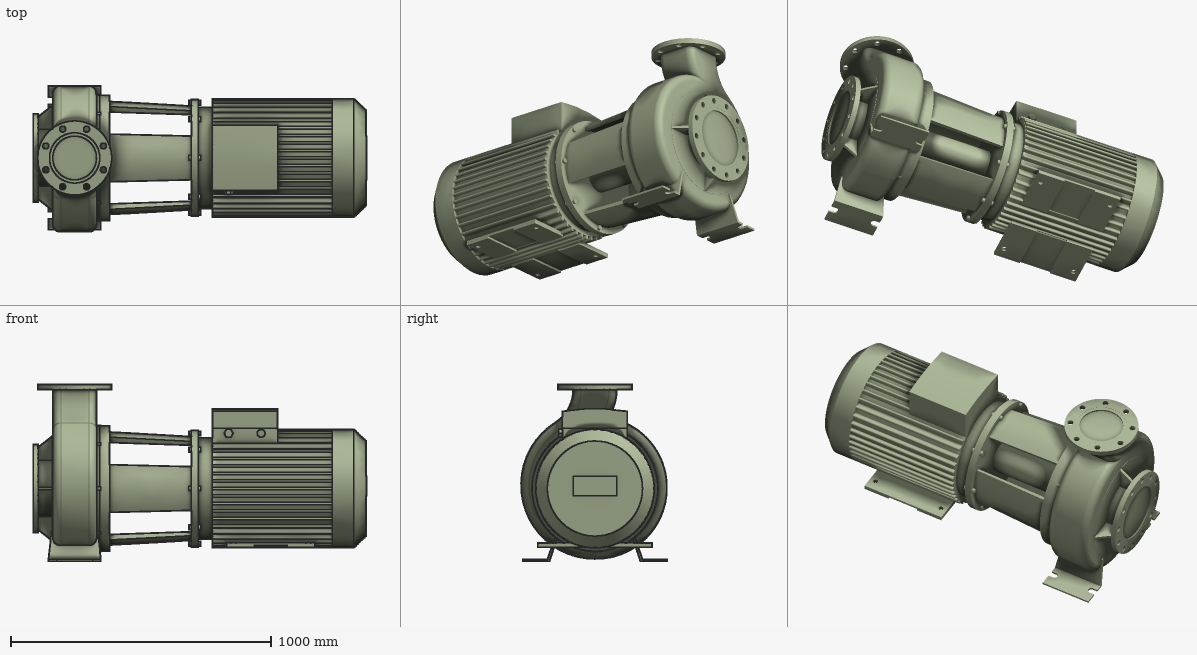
import cadquery as cq
import math


flange_thick = 20.0
volute_center_x = 160.0
volute_width = 168.3
volute_front_x = volute_center_x - volute_width / 2
volute_back_x = volute_center_x + volute_width / 2
cover_thick = 12.0
ring_x = volute_back_x + cover_thick
ring_thick = 38.0
arm_start_x = ring_x + ring_thick
motor_flange_x = 609.0
motor_flange_thick = 27.0
neck_x = motor_flange_x + motor_flange_thick
frame_x = 690.0
fan_cover_x = 1150.0
taper_x = 1234.0
nameplate_thick = 3.0
end_x = 1284.0 - nameplate_thick

suction_pipe_d = 219.1
suction_flange_d = 340.0
suction_circle_d = 295.0
suction_holes = 12
delivery_pipe_d = volute_width
delivery_flange_d = 285.0
delivery_circle_d = 240.0
delivery_holes = 8
delivery_face_z = 400.0
flange_hole_d = 23.0
seal_lip = 12.5
seal_lip_depth = 1.0
pipe_recess = 8.0
volute_fillet = 30.0
scroll_radius = 284.5
scroll_center_z = 13.5
scroll_inner_y = 277.0
tongue_y = 50.0
tongue_z = 273.0
neck_bend_y = 76.0
neck_bend_z = 326.0
rib_thick = 10.0
rib_root_d = 405.7
rib_flange_d = 318.0
hub_disc_thick = 1.0

foot_bottom_z = -280.0
foot_thick = 8.0
foot_outer_y = 277.0
foot_bend_y = 183.0
foot_length = 202.0
foot_top_y = 146.0
foot_top_z = -167.0
foot_taper = 12.0
foot_slot_width = 26.0
foot_slot_depth = 32.0
foot_slot_y = 220.0

ring_d = 484.0
stud_d = 26.0
stud_circle_d = 462.0
stud_recess = 5.0
stud_count = 8
arm_outer_d_pump = 436.0
arm_inner_d_pump = 389.0
arm_outer_d_motor = 400.0
arm_inner_d_motor = 366.0
arm_angle = 50.0
arm_count = 4
motor_flange_d = 450.0
bolt_d = 19.0
bolt_circle_d = 423.0
bolt_count = 8
bolt_head = 10.0
bolt_tail = 8.0
shaft_d = 120.0

neck_d = 391.0
core_d = 428.0
motor_d = 456.0
fin_pitch = 29.0
fin_thick = 10.0
fins_each_way = 5
fan_cover_end_d = 366.0
nameplate_width = 168.0
nameplate_bottom_z = -28.0
nameplate_top_z = 48.0

base_x = 744.0
base_length = 340.0
base_inner_y = 50.0
base_outer_y = 220.0
base_top_z = -209.0
base_thick = 17.0
base_relief_depth = 8.0
base_pad_length = 107.0
base_hole_d = 19.0
base_hole_inset_x = 25.0
base_hole_y = 179.0

box_size = 250.0
box_bottom_z = 172.0
lid_bottom_z = 231.0
lid_edge_z = 297.0
lid_crown_z = 307.0
gland_size = 30.0
gland_length = 15.0
gland_x = frame_x + 62.0
knockout_x = frame_x + 187.0
gland_z = 212.0
knockout_depth = 2.0


def rod(diameter, x_start, x_end):
    """Round bar along X, centred on the machine axis."""
    return cq.Workplane("YZ").workplane(offset=x_start).circle(diameter / 2).extrude(x_end - x_start)


def cone(d_start, d_end, x_start, x_end):
    """Truncated cone along X, centred on the machine axis."""
    profile = [(x_start, 0), (x_start, d_start / 2), (x_end, d_end / 2), (x_end, 0)]
    return cq.Workplane("XY").polyline(profile).close().revolve(360, (0, 0, 0), (1, 0, 0))


def ring_of_rods(diameter, circle_d, count, first_angle, x_start, x_end):
    """Round bars along X, evenly spaced on a circle about the machine axis."""
    return (
        cq.Workplane("YZ").workplane(offset=x_start)
        .polarArray(circle_d / 2, first_angle, 360, count)
        .circle(diameter / 2).extrude(x_end - x_start)
    )


def block(x_min, x_max, y_min, y_max, z_min, z_max):
    """Box given by its limits."""
    return cq.Workplane("XY").box(x_max - x_min, y_max - y_min, z_max - z_min, centered=False).translate(
        (x_min, y_min, z_min)
    )


def flange(diameter, pipe_d, circle_d, count):
    """Pipe flange along +X from its face at X = 0, with its closed pipe end set back behind a shallow seat."""
    half_step = 180.0 / count
    disc = rod(diameter, 0, flange_thick)
    holes = ring_of_rods(flange_hole_d, circle_d, count, half_step, 0, flange_thick)
    seat = rod(pipe_d + 2 * seal_lip, 0, seal_lip_depth).union(rod(pipe_d, 0, pipe_recess))
    return disc.cut(holes).cut(seat)


def volute():
    """Spiral housing with its swan-neck outlet, outlined in the YZ plane.

    The outer scroll arc and the outer neck arc touch where the line of their centres crosses them.
    """
    neck_half = delivery_pipe_d / 2
    neck_top = delivery_face_z - flange_thick
    rise = neck_top - scroll_center_z
    neck_radius = (neck_half**2 + rise**2 - scroll_radius**2) / (2 * (scroll_radius - neck_half))
    share = scroll_radius / (scroll_radius + neck_radius)
    join = (-(neck_half + neck_radius) * share, scroll_center_z + rise * share)
    return (
        cq.Workplane("YZ").workplane(offset=volute_front_x)
        .moveTo(neck_half, neck_top)
        .threePointArc((neck_bend_y, neck_bend_z), (tongue_y, tongue_z))
        .threePointArc((scroll_inner_y, 0), (0, scroll_center_z - scroll_radius))
        .threePointArc((-scroll_radius, scroll_center_z), join)
        .tangentArcPoint((-neck_half, neck_top), relative=False)
        .close()
        .extrude(volute_width)
        .faces("<X or >X").edges("not #Z").fillet(volute_fillet)
    )


def make_casing():
    """Volute with its ribbed inlet, delivery flange and back cover."""
    suction = flange(suction_flange_d, suction_pipe_d, suction_circle_d, suction_holes)
    rib_inner_z = suction_pipe_d / 2 - rib_thick
    delivery = (
        flange(delivery_flange_d, delivery_pipe_d, delivery_circle_d, delivery_holes)
        .rotate((0, 0, 0), (0, 1, 0), 90)
        .translate((volute_center_x, 0, delivery_face_z))
    )
    inlet = suction.union(rod(suction_pipe_d, flange_thick, volute_front_x))
    inlet = inlet.union(rod(rib_root_d, volute_front_x - hub_disc_thick, volute_front_x))
    rib = (
        cq.Workplane("XZ").workplane(offset=-rib_thick / 2)
        .polyline([
            (flange_thick, rib_inner_z), (flange_thick, rib_flange_d / 2),
            (volute_front_x, rib_root_d / 2), (volute_front_x, rib_inner_z),
        ])
        .close().extrude(rib_thick)
    )
    for angle in (0, 90, 180, 270):
        inlet = inlet.union(rib.rotate((0, 0, 0), (1, 0, 0), angle))
    cover = rod(ring_d, volute_back_x, ring_x)
    studs = ring_of_rods(stud_d, stud_circle_d, stud_count, 0, volute_back_x, ring_x)
    return volute().union(inlet).union(cover.cut(studs)).union(delivery)


def make_foot(side, neighbours):
    """Bent sheet foot, trimmed where it wraps the casing; side is +1 for +Y and -1 for -Y."""
    lean = foot_thick / math.cos(math.atan2(foot_bend_y - foot_top_y, foot_top_z - foot_bottom_z))
    x_min = volute_center_x - foot_length / 2
    x_max = volute_center_x + foot_length / 2
    sheet_top = foot_bottom_z + foot_thick
    sheet = (
        cq.Workplane("YZ").workplane(offset=x_min)
        .polyline([
            (foot_outer_y, foot_bottom_z), (foot_outer_y, sheet_top), (foot_bend_y, sheet_top),
            (foot_top_y, foot_top_z), (foot_top_y - lean, foot_top_z), (foot_bend_y - lean, foot_bottom_z),
        ])
        .close().extrude(foot_length)
    )
    side_shape = (
        cq.Workplane("XZ").workplane(offset=-foot_outer_y)
        .polyline([
            (x_min, foot_bottom_z), (x_max, foot_bottom_z), (x_max, sheet_top),
            (x_max - foot_taper, foot_top_z), (x_min + foot_taper, foot_top_z), (x_min, sheet_top),
        ])
        .close().extrude(foot_outer_y)
    )
    foot = sheet.intersect(side_shape)
    for slot_x in (x_min, x_max):
        slot = (
            cq.Workplane("XY").workplane(offset=foot_bottom_z)
            .center(slot_x, foot_slot_y)
            .slot2D(2 * foot_slot_depth, foot_slot_width).extrude(foot_thick)
        )
        foot = foot.cut(slot)
    if side < 0:
        foot = foot.mirror("XZ")
    for neighbour in neighbours:
        foot = foot.cut(neighbour)
    return foot


def make_lantern():
    """Ring and motor flange joined by four tapering arms, with the fastenings of both joints."""
    ring = rod(ring_d, ring_x, arm_start_x)
    studs = ring_of_rods(stud_d, stud_circle_d, stud_count, 0, volute_back_x, ring_x + stud_recess)
    plate = rod(motor_flange_d, motor_flange_x, neck_x)
    bolts = ring_of_rods(
        bolt_d, bolt_circle_d, bolt_count, 0, motor_flange_x - bolt_head, neck_x + bolt_tail
    )
    shell = cone(arm_outer_d_pump, arm_outer_d_motor, arm_start_x, motor_flange_x).cut(
        cone(arm_inner_d_pump, arm_inner_d_motor, arm_start_x, motor_flange_x)
    )
    reach = ring_d * math.tan(math.radians(arm_angle / 2))
    sector = (
        cq.Workplane("YZ").workplane(offset=arm_start_x)
        .polyline([(0, 0), (reach, ring_d), (-reach, ring_d)])
        .close().extrude(motor_flange_x - arm_start_x)
    )
    lantern = ring.union(studs).union(plate).union(bolts)
    arm = shell.intersect(sector)
    for index in range(arm_count):
        lantern = lantern.union(arm.rotate((0, 0, 0), (1, 0, 0), index * 360 / arm_count))
    return lantern.cut(rod(shaft_d, ring_x, neck_x))


def make_shaft():
    return rod(shaft_d, ring_x, neck_x)


def box_envelope(z_min, z_max):
    """Square column over the motor frame that the terminal box fills."""
    return block(frame_x, frame_x + box_size, -box_size / 2, box_size / 2, z_min, z_max)


def fin(offset):
    """Straight fin standing up from the core at Y = offset, with a full round tip."""
    tip_radius = fin_thick / 2
    tip_z = math.sqrt((motor_d / 2 - tip_radius) ** 2 - offset**2)
    sheet = block(frame_x, fan_cover_x, offset - tip_radius, offset + tip_radius, 0, tip_z)
    return sheet.union(rod(fin_thick, frame_x, fan_cover_x).translate((0, offset, tip_z)))


def motor_foot():
    """Foot rail on the +Y side, relieved underneath between its two end pads."""
    bottom_z = base_top_z - base_thick
    rail = block(base_x, base_x + base_length, base_inner_y, base_outer_y, bottom_z, base_top_z)
    relief = block(
        base_x + base_pad_length, base_x + base_length - base_pad_length,
        base_inner_y, base_outer_y, bottom_z, bottom_z + base_relief_depth,
    )
    holes = (
        cq.Workplane("XY").workplane(offset=bottom_z)
        .pushPoints([
            (base_x + base_hole_inset_x, base_hole_y),
            (base_x + base_length - base_hole_inset_x, base_hole_y),
        ])
        .circle(base_hole_d / 2).extrude(base_thick)
    )
    return rail.cut(relief).cut(holes)


def make_motor_frame():
    """Round core with its neck, feet and straight fins: four groups of parallel fins, one per side."""
    frame = rod(core_d, frame_x, fan_cover_x)
    for index in range(-fins_each_way, fins_each_way + 1):
        upright = fin(index * fin_pitch)
        for angle in (0, 90, 180, 270):
            frame = frame.union(upright.rotate((0, 0, 0), (1, 0, 0), angle))
    frame = frame.cut(box_envelope(box_bottom_z, lid_crown_z).cut(rod(core_d, frame_x, fan_cover_x)))
    foot = motor_foot()
    frame = frame.union(foot).union(foot.mirror("XZ"))
    bolts = ring_of_rods(bolt_d, bolt_circle_d, bolt_count, 0, neck_x, neck_x + bolt_tail)
    return frame.union(rod(neck_d, neck_x, frame_x)).cut(bolts)


def make_fan_cover():
    return rod(motor_d, fan_cover_x, taper_x).union(cone(motor_d, fan_cover_end_d, taper_x, end_x))


def make_nameplate():
    return block(
        end_x, end_x + nameplate_thick, -nameplate_width / 2, nameplate_width / 2,
        nameplate_bottom_z, nameplate_top_z,
    )


def make_terminal_box():
    """Box saddled on the motor core, with a hexagonal gland and a round knockout on its -Y side."""
    box = box_envelope(box_bottom_z, lid_bottom_z).cut(rod(core_d, frame_x, fan_cover_x))
    side = cq.Workplane("XZ", origin=(0, -box_size / 2, 0))
    gland = (
        side.center(gland_x, gland_z)
        .polygon(6, gland_size / math.cos(math.pi / 6)).extrude(gland_length)
    )
    knockout = (
        cq.Workplane("XZ", origin=(0, -box_size / 2, 0))
        .center(knockout_x, gland_z).circle(gland_size / 2).extrude(-knockout_depth)
    )
    return box.union(gland).cut(knockout)


def make_lid():
    """Terminal box lid with a gently arched top."""
    half = box_size / 2
    return (
        cq.Workplane("YZ").workplane(offset=frame_x)
        .moveTo(-half, lid_bottom_z).lineTo(half, lid_bottom_z).lineTo(half, lid_edge_z)
        .threePointArc((0, lid_crown_z), (-half, lid_edge_z))
        .close().extrude(box_size)
    )


casing = make_casing()
lantern = make_lantern()
feet = [make_foot(side, (casing, lantern)) for side in (1, -1)]
shaft = make_shaft()
motor_frame = make_motor_frame()
fan_cover = make_fan_cover()
nameplate = make_nameplate()
terminal_box = make_terminal_box()
lid = make_lid()

result = cq.Compound.makeCompound([
    *[solid for solid in casing.solids().vals()],
    *[solid for foot in feet for solid in foot.solids().vals()],
    *lantern.solids().vals(),
    shaft.val(),
    *motor_frame.solids().vals(),
    *fan_cover.solids().vals(),
    nameplate.val(),
    *terminal_box.solids().vals(),
    lid.val(),
])